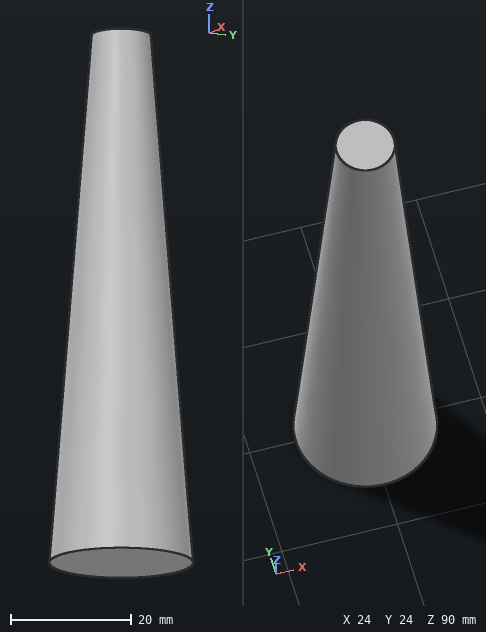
import cadquery as cq

height = 90.0
base_diameter = 24.0
top_diameter = 9.9

half_section = (
    cq.Workplane("XZ")
    .lineTo(base_diameter / 2, 0)
    .lineTo(top_diameter / 2, height)
    .lineTo(0, height)
    .close()
)

result = half_section.revolve(360, (0, 0), (0, 1))